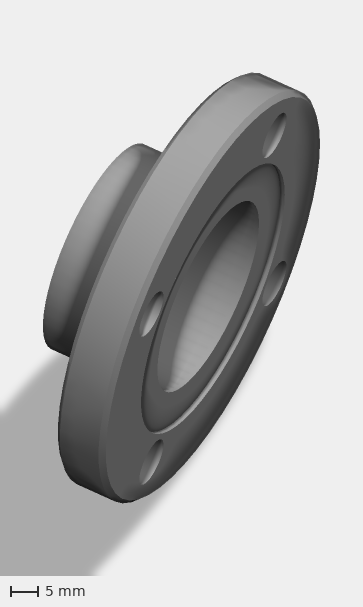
import cadquery as cq

flange_diameter = 82.0
flange_thickness = 10.0
edge_chamfer = 1.0

overall_length = 24.0
neck_diameter = 41.0
bore_diameter = 38.0
neck_fillet = 4.0

recess_diameter = 53.7
recess_depth = 1.0

bolt_count = 4
bolt_hole_diameter = 9.0
bolt_circle_diameter = 65.0
first_bolt_angle = 45.0

neck_length = overall_length - flange_thickness


def make_body():
    """Chamfered disc and neck, joined by a concave fillet."""
    disc = (
        cq.Workplane("YZ", origin=(neck_length, 0, 0))
        .circle(flange_diameter / 2)
        .extrude(flange_thickness)
        .edges()
        .chamfer(edge_chamfer)
    )
    neck = cq.Workplane("YZ").circle(neck_diameter / 2).extrude(neck_length)
    root_face = cq.selectors.NearestToPointSelector((neck_length, neck_diameter / 2 + neck_fillet, 0))
    smallest_circle = cq.selectors.RadiusNthSelector(0)
    return disc.union(neck).faces(root_face).edges(smallest_circle).fillet(neck_fillet)


def make_bore():
    return cq.Workplane("YZ").circle(bore_diameter / 2).extrude(overall_length)


def make_recess():
    return (
        cq.Workplane("YZ", origin=(overall_length, 0, 0))
        .circle(recess_diameter / 2)
        .extrude(-recess_depth)
    )


def make_bolt_holes():
    return (
        cq.Workplane("YZ")
        .polarArray(bolt_circle_diameter / 2, first_bolt_angle, 360, bolt_count)
        .circle(bolt_hole_diameter / 2)
        .extrude(overall_length)
    )


result = make_body().cut(make_bore()).cut(make_recess()).cut(make_bolt_holes())